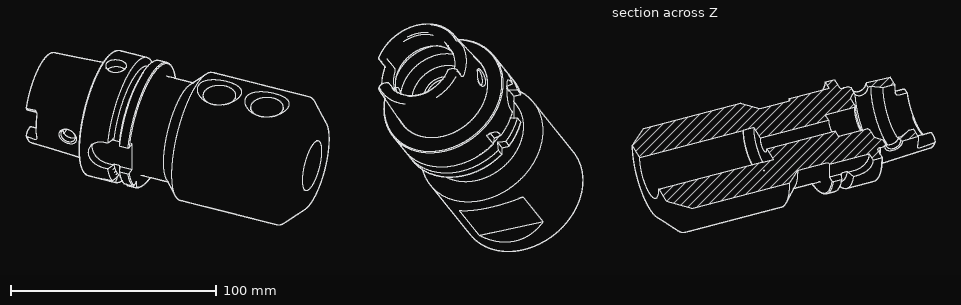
import cadquery as cq
import math

SHANK_LENGTH = 32.0
REACH = 110.0

GAUGE_DIAMETER = 48.01
GAUGE_DISTANCE = 6.3
TAPER_RATIO = 1 / 10
RELIEF_DIAMETER = 48.13
RELIEF_START = 1.7
RELIEF_STEP_LENGTH = 0.3
RELIEF_ROUNDING = 1.2
END_ROUNDING = 0.7

MOUTH_DIAMETER = 34.0
CHAMBER_DIAMETER = 40.0
CAVITY_FLOOR_DIAMETER = 31.3
CLAMP_EDGE_DEPTH = 12.5
CLAMP_ANGLE = 30.0
CAVITY_DEPTH = 30.0
CAVITY_FLOOR_BEVEL = 4.0
COOLANT_THREAD_DIAMETER = 16.92
COOLANT_THREAD_CHAMFER = 0.9
COOLANT_THREAD_DEPTH = 16.0
COOLANT_HOLE_DIAMETER = 8.4

KEYWAY_WIDTH = 12.5
KEYWAY_FLAT_REACH = 17.9
KEYWAY_LIP_RADIUS = 3.2
KEYWAY_FLOOR_RADIUS = 1.5
KEYWAY_DEPTH_FRONT = 6.2
KEYWAY_DEPTH_BACK = 10.0

ACCESS_DIAMETER = 7.5
ACCESS_SINK_DIAMETER = 9.4
ACCESS_POSITION = -9.0

FLANGE_DIAMETER = 63.0
FLANGE_LENGTH = 26.0
FLANGE_CHAMFER = 0.5
GROOVE_CENTRE = 18.0
GROOVE_DIAMETER = 55.0
GROOVE_FLOOR_WIDTH = 2.9
GROOVE_FLANK_END_DIAMETER = 57.0
GROOVE_FLANK_END_WIDTH = 4.0
GROOVE_MOUTH_WIDTH = 6.2
GROOVE_CORNER_RADIUS = 1.2
SLOT_WIDTH = 16.0
SLOT_FLOOR = 26.5
SLOT_START = 5.1
NOTCH_EDGE_Z = -20.0
NOTCH_FLOOR = 20.4
CHIP_HOLE_DIAMETER = 10.0
CHIP_HOLE_DEPTH = 4.6
CHIP_HOLE_POSITION = 7.0

NECK_DIAMETER = 50.0
NECK_ROUNDING = 1.0
NECK_END = 42.0
HEAD_DIAMETER = 64.5
NOSE_LENGTH = 9.75
NOSE_DIAMETER = 45.0
NOSE_ROUNDING = 0.8

BORE_DIAMETER = 25.0
BORE_RELIEF_DIAMETER = 25.5
BORE_RELIEF_START = 55.7
BORE_BOTTOM = 50.0
SCREW_DIAMETER = 15.84
SCREW_SINK_DIAMETER = 22.0
FIRST_SCREW_FROM_NOSE = 23.7
SCREW_PITCH = 25.0

SINK_OVERRUN = 2.0

FLAT_HEIGHT = 27.5
FLAT_START = 61.2
FLAT_LENGTH = 25.4
FLAT_RUNOUT = 4.3

FLANGE_RADIUS = FLANGE_DIAMETER / 2
HEAD_RADIUS = HEAD_DIAMETER / 2
NECK_RADIUS = NECK_DIAMETER / 2
SHANK_END = -SHANK_LENGTH


def taper_radius(x):
    return (GAUGE_DIAMETER + (x + GAUGE_DISTANCE) * TAPER_RATIO) / 2


def revolve_about_x(profile):
    return profile.close().revolve(360, (0, 0, 0), (1, 0, 0))


def outer_body():
    relief_radius = RELIEF_DIAMETER / 2
    groove_radius = GROOVE_DIAMETER / 2
    flank_radius = GROOVE_FLANK_END_DIAMETER / 2
    half_floor = GROOVE_FLOOR_WIDTH / 2
    half_flank = GROOVE_FLANK_END_WIDTH / 2
    half_mouth = GROOVE_MOUTH_WIDTH / 2
    nose_radius = NOSE_DIAMETER / 2
    profile = (
        cq.Workplane("XY")
        .moveTo(SHANK_END, 0)
        .lineTo(SHANK_END, taper_radius(SHANK_END))
        .lineTo(-RELIEF_START, taper_radius(-RELIEF_START))
        .lineTo(-RELIEF_START + RELIEF_STEP_LENGTH, relief_radius)
        .lineTo(-RELIEF_ROUNDING, relief_radius)
        .radiusArc((0, relief_radius + RELIEF_ROUNDING), -RELIEF_ROUNDING)
        .lineTo(0, FLANGE_RADIUS - FLANGE_CHAMFER)
        .lineTo(FLANGE_CHAMFER, FLANGE_RADIUS)
        .lineTo(GROOVE_CENTRE - half_mouth, FLANGE_RADIUS)
        .lineTo(GROOVE_CENTRE - half_flank, flank_radius)
        .radiusArc((GROOVE_CENTRE - half_floor, groove_radius), -GROOVE_CORNER_RADIUS)
        .lineTo(GROOVE_CENTRE + half_floor, groove_radius)
        .radiusArc((GROOVE_CENTRE + half_flank, flank_radius), -GROOVE_CORNER_RADIUS)
        .lineTo(GROOVE_CENTRE + half_mouth, FLANGE_RADIUS)
        .lineTo(FLANGE_LENGTH - FLANGE_CHAMFER, FLANGE_RADIUS)
        .lineTo(FLANGE_LENGTH, FLANGE_RADIUS - FLANGE_CHAMFER)
        .lineTo(FLANGE_LENGTH, NECK_RADIUS + NECK_ROUNDING)
        .radiusArc((FLANGE_LENGTH + NECK_ROUNDING, NECK_RADIUS), -NECK_ROUNDING)
        .lineTo(NECK_END, NECK_RADIUS)
        .lineTo(NECK_END + HEAD_RADIUS - NECK_RADIUS, HEAD_RADIUS)
        .lineTo(REACH - NOSE_LENGTH, HEAD_RADIUS)
        .lineTo(REACH, nose_radius)
        .lineTo(REACH, 0)
    )
    body = revolve_about_x(profile)
    head_middle = (NECK_END + REACH) / 2
    nose_edges = body.edges("%CIRCLE").filter(lambda edge: edge.Center().x > head_middle)
    return nose_edges.fillet(NOSE_ROUNDING)


def shank_cavity():
    mouth = MOUTH_DIAMETER / 2
    chamber = CHAMBER_DIAMETER / 2
    cavity_floor = CAVITY_FLOOR_DIAMETER / 2
    thread = COOLANT_THREAD_DIAMETER / 2
    clamp_run = (chamber - mouth) / math.tan(math.radians(CLAMP_ANGLE))
    clamp_x = SHANK_END + CLAMP_EDGE_DEPTH
    floor_x = SHANK_END + CAVITY_DEPTH
    thread_end = floor_x + COOLANT_THREAD_DEPTH
    profile = (
        cq.Workplane("XY")
        .moveTo(SHANK_END, 0)
        .lineTo(SHANK_END, mouth)
        .lineTo(clamp_x, mouth)
        .lineTo(clamp_x + clamp_run, chamber)
        .lineTo(floor_x - CAVITY_FLOOR_BEVEL, chamber)
        .lineTo(floor_x, cavity_floor)
        .lineTo(floor_x, thread + COOLANT_THREAD_CHAMFER)
        .lineTo(floor_x + COOLANT_THREAD_CHAMFER, thread)
        .lineTo(thread_end, thread)
        .lineTo(thread_end, 0)
    )
    return revolve_about_x(profile)


def tool_bore():
    coolant = COOLANT_HOLE_DIAMETER / 2
    bore = BORE_DIAMETER / 2
    relief = BORE_RELIEF_DIAMETER / 2
    profile = (
        cq.Workplane("XY")
        .moveTo(SHANK_END, 0)
        .lineTo(SHANK_END, coolant)
        .lineTo(BORE_BOTTOM, coolant)
        .lineTo(BORE_BOTTOM, relief)
        .lineTo(BORE_RELIEF_START - (relief - bore), relief)
        .lineTo(BORE_RELIEF_START, bore)
        .lineTo(REACH, bore)
        .lineTo(REACH, 0)
    )
    return revolve_about_x(profile)


def keyway(side, depth):
    """Shank keyway on the side = -1 (-Y) or +1 (+Y), with lips rounded to the outside."""
    half = KEYWAY_WIDTH / 2
    lip_y = KEYWAY_FLAT_REACH + KEYWAY_LIP_RADIUS
    lip_z = half + KEYWAY_LIP_RADIUS
    outside = FLANGE_RADIUS
    cutter = (
        cq.Workplane("YZ", origin=(SHANK_END, 0, 0))
        .moveTo(0, -half)
        .lineTo(side * KEYWAY_FLAT_REACH, -half)
        .radiusArc((side * lip_y, -lip_z), side * KEYWAY_LIP_RADIUS)
        .lineTo(side * outside, -lip_z)
        .lineTo(side * outside, lip_z)
        .lineTo(side * lip_y, lip_z)
        .radiusArc((side * KEYWAY_FLAT_REACH, half), side * KEYWAY_LIP_RADIUS)
        .lineTo(0, half)
        .close()
        .extrude(depth)
    )
    walls = cutter.faces(">X").edges("(not |Z)")
    return walls.fillet(KEYWAY_FLOOR_RADIUS)


def radial_direction(axis, side):
    return cq.Vector(0, side, 0) if axis == "Y" else cq.Vector(0, 0, side)


def conical_sink(axis, x, side, mouth_diameter, hole_diameter, surface_radius):
    """45 degree countersink that has its mouth diameter at the given distance from the axis."""
    height = (mouth_diameter - hole_diameter) / 2 + SINK_OVERRUN
    base_radius = mouth_diameter / 2 + SINK_OVERRUN
    direction = radial_direction(axis, side)
    base = cq.Vector(x, 0, 0) + direction * (surface_radius + SINK_OVERRUN)
    cone = cq.Solid.makeCone(base_radius, base_radius - height, height, base, direction * -1)
    return cq.Workplane(cone)


def cross_hole(axis, x, side, diameter, start, end):
    direction = radial_direction(axis, side)
    base = cq.Vector(x, 0, 0) + direction * start
    return cq.Workplane(cq.Solid.makeCylinder(diameter / 2, end - start, base, direction))


def flange_slot(side, centre_z, floor):
    """Slot open to the neck, with a round end towards the shank and a flat floor at |Y| = floor."""
    radius = SLOT_WIDTH / 2
    centre_x = SLOT_START + radius
    depth = HEAD_RADIUS - floor
    start_y = min(side * floor, side * HEAD_RADIUS)
    round_base = cq.Vector(centre_x, start_y, centre_z)
    round_end = cq.Solid.makeCylinder(radius, depth, round_base, cq.Vector(0, 1, 0))
    straight = cq.Workplane("XY").box(
        FLANGE_LENGTH - centre_x, depth, SLOT_WIDTH, centered=(False, False, True)
    )
    return straight.translate((centre_x, start_y, centre_z)).union(cq.Workplane(round_end))


def balancing_flat():
    drop = HEAD_RADIUS - FLAT_HEIGHT
    profile = (
        cq.Workplane("XZ")
        .moveTo(FLAT_START, -FLAT_HEIGHT)
        .lineTo(FLAT_START + FLAT_LENGTH, -FLAT_HEIGHT)
        .lineTo(FLAT_START + FLAT_LENGTH + FLAT_RUNOUT, -FLAT_HEIGHT - drop)
        .lineTo(FLAT_START - FLAT_RUNOUT, -FLAT_HEIGHT - drop)
        .close()
    )
    return profile.extrude(HEAD_RADIUS, both=True)


body = outer_body().cut(shank_cavity())
for side, depth in ((-1, KEYWAY_DEPTH_FRONT), (1, KEYWAY_DEPTH_BACK)):
    body = body.cut(keyway(side, depth))
body = body.faces("<X").edges().fillet(END_ROUNDING)
body = body.cut(tool_bore())

for side in (-1, 1):
    body = body.cut(cross_hole("Y", ACCESS_POSITION, side, ACCESS_DIAMETER, 0, HEAD_RADIUS))
    surface = taper_radius(ACCESS_POSITION)
    body = body.cut(
        conical_sink("Y", ACCESS_POSITION, side, ACCESS_SINK_DIAMETER, ACCESS_DIAMETER, surface)
    )
    body = body.cut(flange_slot(side, 0, SLOT_FLOOR))

chip_floor = FLANGE_RADIUS - CHIP_HOLE_DEPTH
body = body.cut(cross_hole("Z", CHIP_HOLE_POSITION, 1, CHIP_HOLE_DIAMETER, chip_floor, HEAD_RADIUS))
body = body.cut(flange_slot(-1, NOTCH_EDGE_Z - SLOT_WIDTH / 2, NOTCH_FLOOR))

for index in range(2):
    screw_x = REACH - FIRST_SCREW_FROM_NOSE - index * SCREW_PITCH
    body = body.cut(cross_hole("Z", screw_x, 1, SCREW_DIAMETER, 0, HEAD_RADIUS))
    body = body.cut(conical_sink("Z", screw_x, 1, SCREW_SINK_DIAMETER, SCREW_DIAMETER, HEAD_RADIUS))

result = body.cut(balancing_flat())